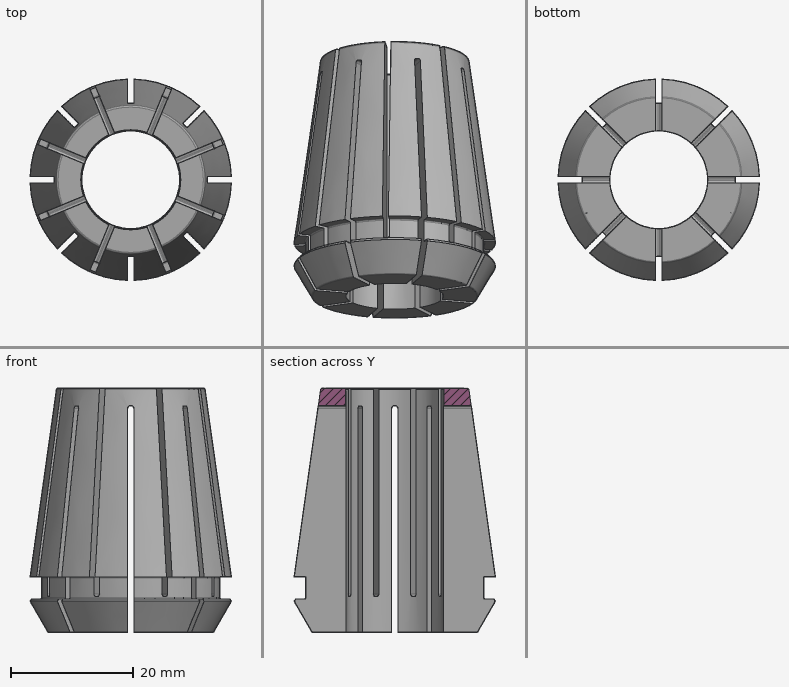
import cadquery as cq
import math

LENGTH = 40.0
MAX_RADIUS = 16.5
BORE_RADIUS = 8.0

CONE_BASE_Z = 9.1
CONE_HALF_ANGLE = 8.0
TOP_FILLET = 0.3
BORE_CHAMFER = 0.2

GROOVE_RADIUS = 14.6
GROOVE_BASE_Z = 5.5
GROOVE_FILLET = 0.2

FLANGE_HALF_ANGLE = 30.0
FLANGE_TOP_CHAMFER = 0.4
FLANGE_TOP_SETBACK = 0.3
FLANGE_BASE_FILLET = 0.2

SLOT_COUNT = 8
SLOT_WIDTH = 1.0
SLOT_CORNER_RADIUS = 0.4
SLOT_PITCH = 360.0 / SLOT_COUNT
BOTTOM_SLOT_END_Z = 37.1
TOP_SLOT_END_Z = 5.9
SLOT_OVERRUN = 1.0


def round_circles(body, circle_radius, fillet_radius):
    """Fillet every circular edge of the body that has the given radius."""
    def has_radius(edge):
        return edge.geomType() == "CIRCLE" and math.isclose(edge.radius(), circle_radius)

    return body.edges().filter(has_radius).fillet(fillet_radius)


def collet_body():
    """Revolve the bored collet profile about the Z axis and round its edges."""
    flange_edge_z = GROOVE_BASE_Z - FLANGE_TOP_CHAMFER
    flange_base_radius = MAX_RADIUS - flange_edge_z * math.tan(math.radians(FLANGE_HALF_ANGLE))
    cone_height = LENGTH - CONE_BASE_Z
    cone_top_radius = MAX_RADIUS - cone_height * math.tan(math.radians(CONE_HALF_ANGLE))
    profile = [
        (BORE_RADIUS, 0),
        (flange_base_radius, 0),
        (MAX_RADIUS, flange_edge_z),
        (MAX_RADIUS - FLANGE_TOP_SETBACK, GROOVE_BASE_Z),
        (GROOVE_RADIUS, GROOVE_BASE_Z),
        (GROOVE_RADIUS, CONE_BASE_Z),
        (MAX_RADIUS, CONE_BASE_Z),
        (cone_top_radius, LENGTH),
        (BORE_RADIUS + BORE_CHAMFER, LENGTH),
        (BORE_RADIUS, LENGTH - BORE_CHAMFER),
    ]
    body = cq.Workplane("XZ").polyline(profile).close().revolve(360, (0, 0), (0, 1))
    body = round_circles(body, GROOVE_RADIUS, GROOVE_FILLET)
    body = round_circles(body, cone_top_radius, TOP_FILLET)
    return round_circles(body, flange_base_radius, FLANGE_BASE_FILLET)


def radial_slot(open_z, end_z, angle):
    """Slot cutter running outwards from the axis, with rounded corners at its closed end."""
    cutter = (
        cq.Workplane("XY")
        .workplane(offset=min(open_z, end_z))
        .rect(MAX_RADIUS + SLOT_OVERRUN, SLOT_WIDTH)
        .extrude(abs(end_z - open_z))
        .translate(((MAX_RADIUS + SLOT_OVERRUN) / 2, 0, 0))
    )
    closed_end = ">Z" if end_z > open_z else "<Z"
    cutter = cutter.faces(closed_end).edges("|X").fillet(SLOT_CORNER_RADIUS)
    return cutter.rotate((0, 0, 0), (0, 0, 1), angle)


result = collet_body()
for index in range(SLOT_COUNT):
    bottom_angle = index * SLOT_PITCH
    top_angle = bottom_angle + SLOT_PITCH / 2
    result = result.cut(radial_slot(-SLOT_OVERRUN, BOTTOM_SLOT_END_Z, bottom_angle))
    result = result.cut(radial_slot(LENGTH + SLOT_OVERRUN, TOP_SLOT_END_Z, top_angle))